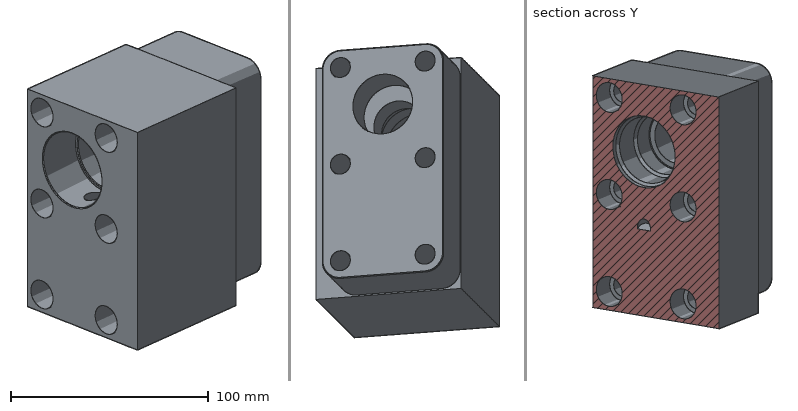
import cadquery as cq
import math

block_width = 76.1
block_height = 121.5
total_depth = 104.8
block_depth = 73.0

boss_width = 63.6
boss_height = 120.0
boss_corner_radius = 9.5
boss_side_inset = 0.5
edge_break = 0.5

bolt_column_spacing = 44.5
bolt_row_spacing = 50.8
bolt_hole_diameter = 10.5
counterbore_diameter = 15.3
counterbore_depth = 48.6

bore_diameter = 40.3
bore_depth = 24.0
seat_diameter = 37.2
seat_end_depth = 38.9
land_diameter = 34.5
land_end_depth = 53.4
cone_length = 1.5
throat_diameter = 31.8
throat_depth = 65.6
throat_floor_diameter = 31.1
passage_diameter = 25.4
bore_offset_x = -1.3

outlet_diameter = 31.3
outlet_rise = 4.5
outlet_length = 24.3
outlet_flare = 3.0

feed_diameter = 7.8
feed_distance = 15.8
feed_angle = 45.0
feed_length = 29.1

boss_middle_x = boss_side_inset + boss_width / 2
block_middle_z = block_height / 2
bore_x = boss_middle_x + bore_offset_x
bore_z = block_middle_z + bolt_row_spacing / 2
passage_end = total_depth - outlet_length
bolt_points = [
    (boss_middle_x + side * bolt_column_spacing / 2, block_middle_z + row * bolt_row_spacing)
    for side in (-1, 1)
    for row in (-1, 0, 1)
]


def make_body():
    """Block with the rounded boss behind it."""
    block = cq.Workplane("XY").box(block_width, block_depth, block_height, centered=False)
    boss = (
        cq.Workplane("XZ", origin=(boss_middle_x, block_depth, block_middle_z))
        .rect(boss_width, boss_height)
        .extrude(block_depth - total_depth)
        .edges("|Y")
        .fillet(boss_corner_radius)
        .faces(">Y")
        .chamfer(edge_break)
    )
    return block.union(boss)


def make_bolt_cylinders(diameter, depth):
    """One cylinder per bolt, going back from the front face."""
    return cq.Workplane("XZ").pushPoints(bolt_points).circle(diameter / 2).extrude(-depth)


def turn_about_y(profile, x, z):
    """Turn a half profile of (radius, depth) points about the Y-parallel axis at (x, z)."""
    turned = cq.Workplane("XY").polyline(profile).close().revolve(360, (0, 0, 0), (0, 1, 0))
    return turned.translate((x, 0, z))


def make_bore():
    """Bore narrowing in steps and cones, ending in the passage to the outlet."""
    bore_radius = bore_diameter / 2
    seat_radius = seat_diameter / 2
    land_radius = land_diameter / 2
    throat_radius = throat_diameter / 2
    floor_radius = throat_floor_diameter / 2
    passage_radius = passage_diameter / 2
    profile = [
        (0, 0),
        (bore_radius + edge_break, 0),
        (bore_radius, edge_break),
        (bore_radius, bore_depth),
        (seat_radius + edge_break, bore_depth),
        (seat_radius, bore_depth + edge_break),
        (seat_radius, seat_end_depth),
        (land_radius, seat_end_depth + cone_length),
        (land_radius, land_end_depth),
        (throat_radius, land_end_depth + cone_length),
        (throat_radius, throat_depth),
        (floor_radius, throat_depth + edge_break),
        (passage_radius, throat_depth + edge_break),
        (passage_radius, passage_end),
        (0, passage_end),
    ]
    return turn_about_y(profile, bore_x, bore_z)


def make_outlet():
    """Straight hole whose inner end widens at 45 degrees."""
    outlet_radius = outlet_diameter / 2
    profile = [
        (0, passage_end),
        (outlet_radius + outlet_flare, passage_end),
        (outlet_radius, passage_end + outlet_flare),
        (outlet_radius, total_depth),
        (0, total_depth),
    ]
    return turn_about_y(profile, boss_middle_x, bore_z + outlet_rise)


def make_feed_hole():
    """Blind slanted hole, begun one diameter above the bore floor so that it breaks through cleanly."""
    slant = math.radians(feed_angle)
    axis = cq.Vector(0, math.sin(slant), -math.cos(slant))
    entry = cq.Vector(bore_x, feed_distance, bore_z - bore_diameter / 2)
    start = entry - axis * feed_diameter
    length = feed_diameter + feed_length
    return cq.Workplane(cq.Solid.makeCylinder(feed_diameter / 2, length, start, axis))


result = (
    make_body()
    .cut(make_bolt_cylinders(bolt_hole_diameter, total_depth))
    .cut(make_bolt_cylinders(counterbore_diameter, counterbore_depth))
    .cut(make_bore())
    .cut(make_outlet())
    .cut(make_feed_hole())
)